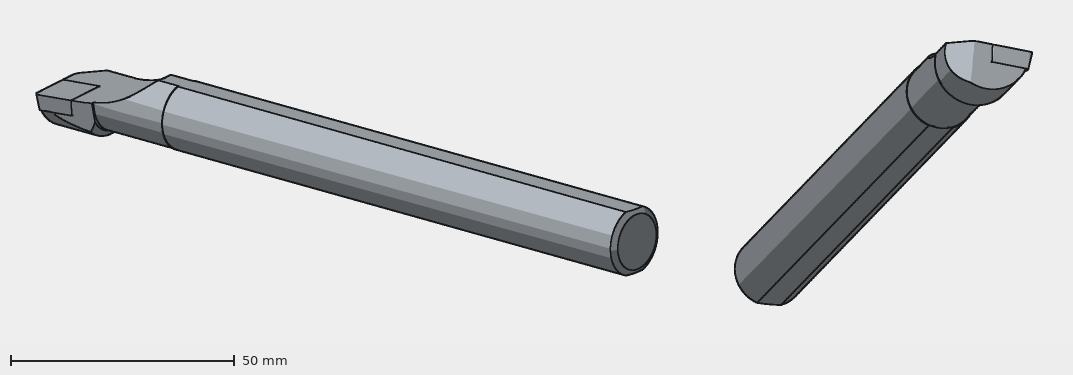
import cadquery as cq
import math


bar_length = 170.0
shank_radius = 8.0
flat_height = 7.5
shank_chamfer_length = 1.5
shank_chamfer_angle = 30.0

neck_radius = 7.87
neck_start = 10.0
neck_end = 35.3

head_radius = 9.2
head_center_y = shank_radius - head_radius
head_length = 14.9
head_chamfer = 1.6

corner_reach = 11.0
rake_angle = 6.0
clearance_angle = 7.0
lead_angle = 10.0

bevel_start_y = 2.8
bevel_angle = 45.0
bevel_round = 2.8

inscribed_circle = 9.525
insert_thickness = 3.97
nose_radius = 0.8

scoop_center_x = 1.5
scoop_flat_radius = 13.0
scoop_corner_radius = 20.0

lead = math.radians(lead_angle)
insert_edge = inscribed_circle / math.cos(lead)

half_corner_angle = (math.pi / 2 - lead) / 2
tip_setback = nose_radius / math.tan(half_corner_angle) - nose_radius

rake_plane = cq.Plane(
    origin=(0, -corner_reach, 0),
    xDir=(1, 0, 0),
    normal=(0, -math.sin(math.radians(rake_angle)), math.cos(math.radians(rake_angle))),
)


def across(y):
    """Local y on the rake plane of the point that lies at the given y."""
    return (y + corner_reach) / math.cos(math.radians(rake_angle))


def relieved_prism(sketch, depth):
    """Extrude a rake-plane sketch downward, drawing every side in by the clearance angle."""
    return cq.Workplane(rake_plane).placeSketch(sketch).extrude(-depth, taper=clearance_angle)


def insert_outline():
    rise = inscribed_circle * math.tan(lead)
    near_left = (0, -tip_setback)
    near_right = (inscribed_circle, rise - tip_setback)
    far_right = (inscribed_circle, rise - tip_setback + insert_edge)
    far_left = (0, insert_edge - tip_setback)
    return cq.Sketch().polygon([near_left, near_right, far_right, far_left, near_left])


def make_insert():
    return relieved_prism(insert_outline().vertices().fillet(nose_radius), insert_thickness)


def make_insert_pocket():
    """Seat with the sharp-cornered outline of the insert."""
    return relieved_prism(insert_outline(), insert_thickness)


def make_shank():
    chamfer_depth = shank_chamfer_length * math.tan(math.radians(shank_chamfer_angle))
    round_bar = (
        cq.Workplane("YZ", origin=(neck_end, 0, 0))
        .circle(shank_radius)
        .extrude(bar_length - neck_end)
        .faces(">X")
        .chamfer(chamfer_depth, shank_chamfer_length)
    )
    flats = cq.Workplane("XY").box(2 * bar_length, 2 * shank_radius, 2 * flat_height)
    return round_bar.intersect(flats)


def make_neck():
    round_neck = (
        cq.Workplane("YZ", origin=(neck_start, 0, 0))
        .circle(neck_radius)
        .extrude(neck_end - neck_start)
    )
    above_flat = cq.Workplane("XY", origin=(0, 0, flat_height)).box(
        2 * neck_end, 2 * neck_radius, neck_radius, centered=(True, True, False)
    )
    return round_neck.cut(above_flat)


def make_head():
    """Relieved cutting end; its stock above the rake plane is left for the scoop to trim."""
    barrel = (
        cq.Workplane("YZ", origin=(0, head_center_y, 0))
        .circle(head_radius)
        .extrude(head_length)
        .faces(">X")
        .chamfer(head_chamfer)
    )
    block_width = 4 * head_radius
    block_length = 2 * head_length
    bevel_corner = (0, across(bevel_start_y))
    bevel_run = (block_width - bevel_corner[1]) / math.tan(math.radians(bevel_angle))
    block_outline = (
        cq.Sketch()
        .polygon([
            (0, -tip_setback),
            (block_length, block_length * math.tan(lead) - tip_setback),
            (block_length, block_width),
            (bevel_run, block_width),
            bevel_corner,
            (0, -tip_setback),
        ])
        .vertices(cq.NearestToPointSelector(bevel_corner + (0,)))
        .fillet(bevel_round)
    )
    below_rake = relieved_prism(block_outline, 2 * head_radius)
    above_rake = cq.Workplane(rake_plane).placeSketch(block_outline).extrude(2 * head_radius)
    return barrel.intersect(below_rake.union(above_rake))


def make_chip_scoop():
    """Cutter body that stands on the rake plane and flares outward above it."""
    axis_plane = cq.Plane(
        origin=(scoop_center_x, 0, corner_reach * math.tan(math.radians(rake_angle))),
        xDir=rake_plane.xDir,
        normal=-rake_plane.yDir,
    )
    rim = (scoop_flat_radius + scoop_corner_radius, scoop_corner_radius)
    return (
        cq.Workplane(axis_plane)
        .lineTo(scoop_flat_radius, 0)
        .radiusArc(rim, -scoop_corner_radius)
        .lineTo(0, scoop_corner_radius)
        .close()
        .revolve(360, (0, 0), (0, 1))
    )


def make_bar():
    return (
        make_shank()
        .union(make_neck())
        .union(make_head())
        .cut(make_chip_scoop())
        .cut(make_insert_pocket())
    )


bar = make_bar()
insert = make_insert()
result = cq.Compound.makeCompound([bar.solids().val(), insert.solids().val()])